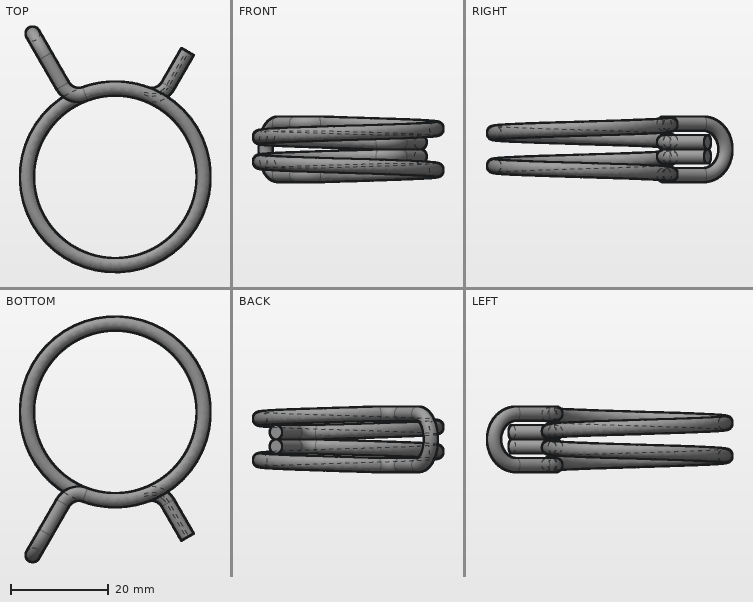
import cadquery as cq
import math


wire_diameter = 3.0
coil_outer_diameter = 39.35
overall_height = 13.6
tail_overlap = 0.05

eye_angle = 120
tail_angle = 60
bend_radius = 3.8
eye_straight_end = 28.7
tail_end = 29.75

wire_radius = wire_diameter / 2
coil_radius = (coil_outer_diameter - wire_diameter) / 2
eye_height = (overall_height - wire_diameter) / 2
tail_height = (wire_diameter - tail_overlap) / 2

bend_center_distance = coil_radius + bend_radius
bend_sweep = math.degrees(math.asin(bend_radius / bend_center_distance))
arm_start = math.sqrt(bend_center_distance**2 - bend_radius**2)

coil_start_angle = tail_angle + bend_sweep
coil_end_angle = eye_angle - bend_sweep
coil_sweep = 360 + coil_end_angle - coil_start_angle


def make_coil():
    """Helical wire rising from the tail bend to the eye bend."""
    rise = eye_height - tail_height
    pitch = rise * 360 / coil_sweep
    helix = cq.Wire.makeHelix(pitch, rise, coil_radius)
    coil = cq.Workplane("XZ").center(coil_radius, 0).circle(wire_radius).sweep(helix, isFrenet=True)
    return coil.rotate((0, 0, 0), (0, 0, 1), coil_start_angle).translate((0, 0, tail_height))


def make_arm(angle, end, height, side):
    """Horizontal arm ending at radius `end`; side is +1 or -1, the turning sense from arm to coil."""
    coil_point = (
        coil_radius * math.cos(math.radians(bend_sweep)),
        side * coil_radius * math.sin(math.radians(bend_sweep)),
    )
    path = (
        cq.Workplane("XY")
        .moveTo(end, 0)
        .lineTo(arm_start, 0)
        .tangentArcPoint(coil_point, relative=False)
    )
    arm = cq.Workplane("YZ", origin=(end, 0, 0)).circle(wire_radius).sweep(path)
    return arm.rotate((0, 0, 0), (0, 0, 1), angle).translate((0, 0, height))


def make_eye():
    """Vertical half-turn joining the upper and lower eye arms."""
    eye = (
        cq.Workplane("YZ", origin=(eye_straight_end, 0, 0))
        .center(0, eye_height)
        .circle(wire_radius)
        .revolve(180, (0, -eye_height, 0), (1, -eye_height, 0))
    )
    return eye.rotate((0, 0, 0), (0, 0, 1), eye_angle)


upper_wire = (
    make_coil()
    .union(make_arm(tail_angle, tail_end, tail_height, 1))
    .union(make_arm(eye_angle, eye_straight_end, eye_height, -1))
)
lower_wire = upper_wire.mirror("XY")
result = upper_wire.union(lower_wire).union(make_eye())